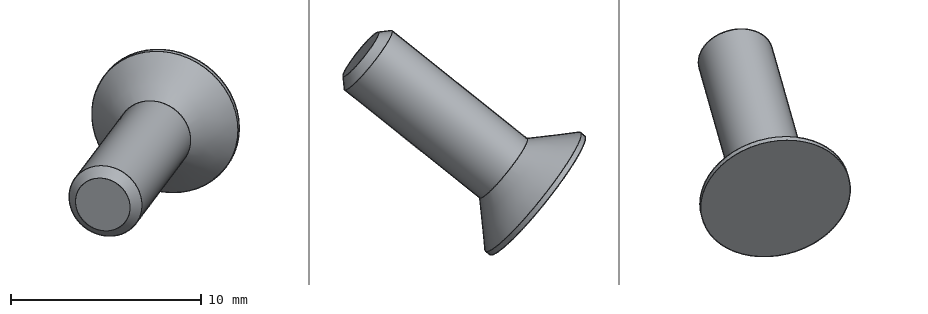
import cadquery as cq

total_length = 12.0
head_diameter = 8.0
shank_diameter = 4.0
rim_height = 0.3
tip_chamfer = 0.5

head_radius = head_diameter / 2
shank_radius = shank_diameter / 2
cone_height = head_radius - shank_radius
head_height = rim_height + cone_height


def make_head():
    """Short cylindrical rim followed by a cone down to the shank diameter."""
    return (
        cq.Workplane("XY")
        .polyline([
            (0, 0),
            (head_radius, 0),
            (head_radius, -rim_height),
            (shank_radius, -head_height),
            (0, -head_height),
        ])
        .close()
        .revolve(360, (0, 0, 0), (0, 1, 0))
    )


def make_shank():
    """Plain cylinder from the head face to the tip, chamfered at the tip."""
    return (
        cq.Workplane("XZ")
        .circle(shank_radius)
        .extrude(total_length)
        .faces("<Y")
        .chamfer(tip_chamfer)
    )


result = make_head().union(make_shank())